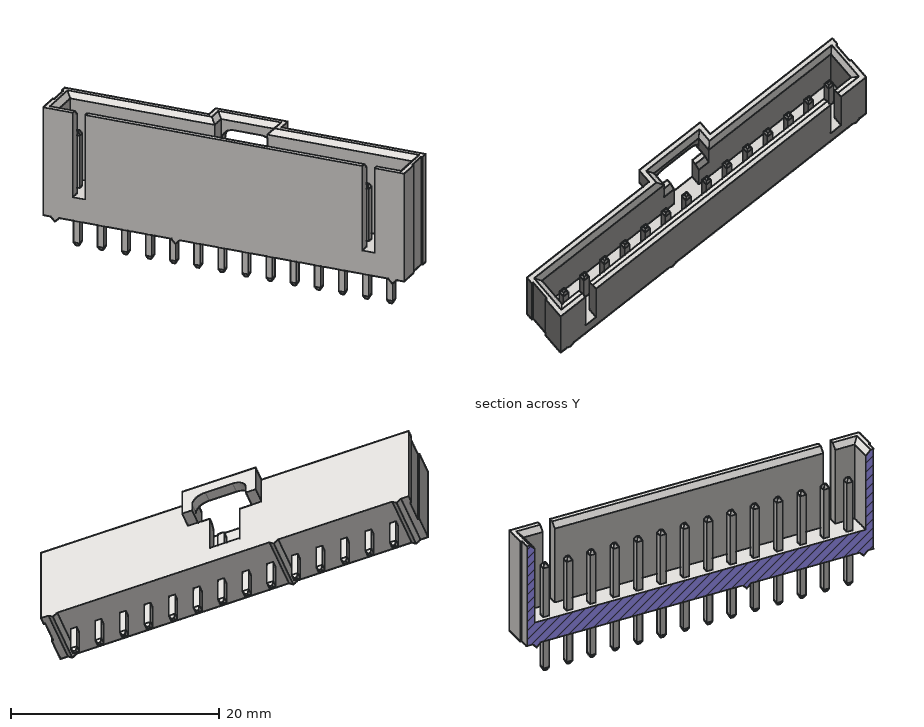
import cadquery as cq


length = 38.02
depth = 5.1
height = 11.35
wall = 1.03
rim = 0.5
lead_in = wall - rim
floor = 2.47

recess_depth = 0.15
recess_front = 2.3
recess_rear = 4.35

slot_width = 1.3
slot_offset = 15.25

key_width = 7.6
key_depth = 6.6
key_height = 3.8
window_drop = 1.5
window_radius = 1.35
key_slot_width = 3.08

pin_count = 14
pin_row = 33.0
pin_width = 0.65
pin_tip_width = 0.25
pin_tip_height = 0.38
pin_bottom = -3.73
pin_top = 8.35
pin_y = depth / 2

ridge_height = 0.45
ridge_pin_gaps = (0, 5, 14)

key_bottom = height - key_height
key_inner_width = key_width - 2 * wall
key_inner_depth = key_depth - wall
pitch = pin_row / (pin_count - 1)
first_pin_x = -pin_row / 2


def block(x_size, y_min, y_max, z_min, z_max, x_mid=0.0):
    """Box centred on x_mid, spanning the given Y and Z ranges."""
    return (
        cq.Workplane("XY")
        .box(x_size, y_max - y_min, z_max - z_min, centered=(True, False, False))
        .translate((x_mid, y_min, z_min))
    )


def mouth_chamfer(x_size, y_min, y_max, z_top):
    """Funnel that widens a rectangular opening at 45 degrees up to z_top."""
    return (
        cq.Workplane("XY", origin=(0, (y_min + y_max) / 2, z_top))
        .rect(x_size + 2 * lead_in, y_max - y_min + 2 * lead_in)
        .workplane(offset=-lead_in)
        .rect(x_size, y_max - y_min)
        .loft(ruled=True)
    )


def make_housing():
    """Outer walls and key tower, hollowed out with a chamfered mouth."""
    cavity_length = length - 2 * wall
    cavity_rear = depth - wall
    body = block(length, 0, depth, 0, height)
    body = body.union(block(key_width, 0, key_depth, key_bottom, height))
    body = body.cut(block(cavity_length, wall, cavity_rear, floor, height))
    body = body.cut(block(key_inner_width, wall, key_inner_depth, key_bottom, height))
    body = body.cut(mouth_chamfer(cavity_length, wall, cavity_rear, height))
    return body.cut(mouth_chamfer(key_inner_width, wall, key_inner_depth, height))


def sill_chamfer():
    """Wedge off the inner top edge of the rear wall left standing under the tower."""
    inner_face = depth - wall
    return (
        cq.Workplane("YZ", origin=(-key_inner_width / 2, 0, 0))
        .polyline([
            (inner_face, key_bottom),
            (inner_face, key_bottom - lead_in),
            (inner_face + lead_in, key_bottom),
        ])
        .close()
        .extrude(key_inner_width)
    )


def key_window():
    """Opening in the rear of the tower, with rounded upper corners."""
    window = block(key_inner_width, depth, key_depth, key_bottom, height - window_drop)
    return window.edges("|Y and >Z").fillet(window_radius)


def key_slot():
    """Slot through the rear wall from the cavity floor up into the tower."""
    return block(key_slot_width, depth - wall, depth, floor, key_bottom)


def front_slot(x_mid):
    return block(slot_width, 0, wall, floor, height, x_mid)


def end_recess(side):
    """Recess over the full height of one end face; side is -1 or 1."""
    return block(2 * recess_depth, recess_front, recess_rear, 0, height, side * length / 2)


def pin_tip(z_base, direction):
    """Tapered pin end starting at z_base; direction is 1 for up, -1 for down."""
    return (
        cq.Workplane("XY", origin=(0, pin_y, z_base))
        .rect(pin_width, pin_width)
        .workplane(offset=direction * pin_tip_height)
        .rect(pin_tip_width, pin_tip_width)
        .loft(ruled=True)
    )


def make_pin():
    shank_bottom = pin_bottom + pin_tip_height
    shank_top = pin_top - pin_tip_height
    shank = block(pin_width, pin_y - pin_width / 2, pin_y + pin_width / 2, shank_bottom, shank_top)
    return shank.union(pin_tip(shank_bottom, -1)).union(pin_tip(shank_top, 1))


def ridge(x_mid):
    """Triangular ridge running front to rear under the housing."""
    return (
        cq.Workplane("XZ", origin=(x_mid, 0, 0))
        .polyline([(-ridge_height, 0), (0, -ridge_height), (ridge_height, 0)])
        .close()
        .extrude(-depth)
    )


result = make_housing().cut(sill_chamfer()).cut(key_window()).cut(key_slot())

for side in (-1, 1):
    result = result.cut(front_slot(side * slot_offset)).cut(end_recess(side))

for gap in ridge_pin_gaps:
    result = result.union(ridge(first_pin_x + (gap - 0.5) * pitch))

pin = make_pin()
for index in range(pin_count):
    result = result.union(pin.translate((first_pin_x + index * pitch, 0, 0)))